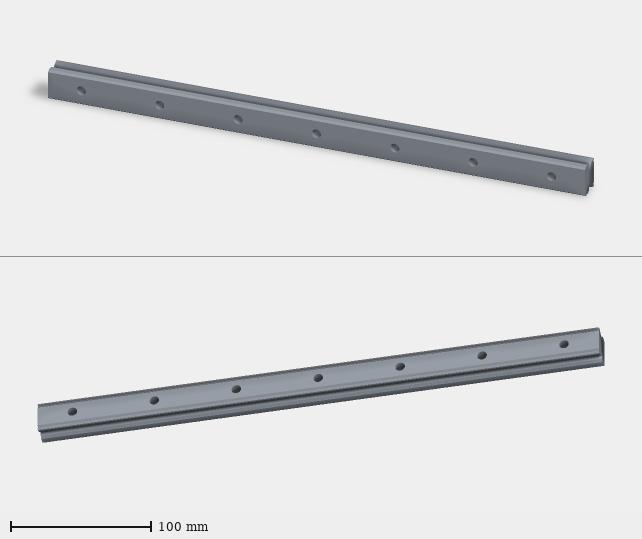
import cadquery as cq

length = 410.0
depth = 18.0
width = 23.0

hole_count = 7
hole_pitch = 60.0
hole_diameter = 7.0

base_bevel_depth = 1.5
base_bevel_drop = 1.2
shoulder_start = 6.0
shoulder_end = 8.0
shoulder_drop = 1.5

groove_drop = 4.0
groove_end = 10.0
slope_break = 12.7
slope_break_drop = 1.5

tip_start = 16.0
tip_end = 17.2
tip_corner_drop = 1.2
step_depth = 1.2
step_outer_drop = 1.5
step_inner_drop = 3.5

half_depth = depth / 2
half_width = width / 2


def flank_points():
    """Upper half of the section as (Y, Z), from the base face to the back face."""
    from_base_and_drop = [
        (0, base_bevel_drop),
        (base_bevel_depth, 0),
        (shoulder_start, 0),
        (shoulder_end, shoulder_drop),
        (shoulder_end, groove_drop),
        (groove_end, groove_drop),
        (slope_break, slope_break_drop),
        (tip_start, 0),
        (tip_end, 0),
        (depth, tip_corner_drop),
        (depth - step_depth, step_outer_drop),
        (depth - step_depth, step_inner_drop - step_depth),
        (depth, step_inner_drop),
    ]
    return [(y - half_depth, half_width - drop) for y, drop in from_base_and_drop]


def rail_body():
    """Extrude the section, which is symmetric about Z = 0, along X."""
    upper = flank_points()
    lower = [(y, -z) for y, z in reversed(upper)]
    section = cq.Workplane("YZ").polyline(upper + lower).close()
    return section.extrude(length / 2, both=True)


def mounting_holes():
    """A row of cylinders along Y that pass right through the rail."""
    return (
        cq.Workplane("XZ")
        .rarray(hole_pitch, 4, hole_count, 1)
        .circle(hole_diameter / 2)
        .extrude(depth, both=True)
    )


result = rail_body().cut(mounting_holes())